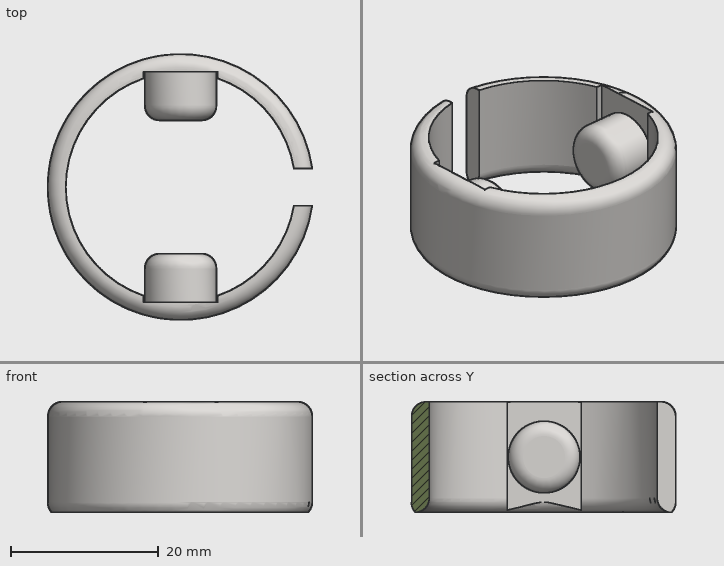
import cadquery as cq
import math

outer_radius = 17.97
inner_radius = 15.5
height = 15.0
rounding = 2.0
lower_round_height = 1.4
gap_width = 5.0

seat_distance = 15.55
seat_width = 10.0
peg_diameter = 9.7
peg_tip_distance = 9.0
peg_center_z = height / 2
peg_root_overlap = 0.35


def ring_body():
    """Revolve the wall section, whose lower rounds meet in a sharp bottom edge."""
    arc_center_x = outer_radius - rounding
    upper_arc_z = height - rounding
    lower_arc_x = arc_center_x + math.sqrt(rounding**2 - lower_round_height**2)
    upper_mid = rounding * math.sqrt(0.5)
    inner_rounding = lower_arc_x - inner_radius
    inner_mid = inner_rounding * (1 - math.sqrt(0.5))
    half_angle = math.asin(lower_round_height / rounding) / 2
    lower_mid = (
        arc_center_x + rounding * math.cos(half_angle),
        lower_round_height - rounding * math.sin(half_angle),
    )
    section = (
        cq.Workplane("XZ")
        .moveTo(inner_radius, inner_rounding)
        .threePointArc((inner_radius + inner_mid, inner_mid), (lower_arc_x, 0))
        .threePointArc(lower_mid, (outer_radius, lower_round_height))
        .lineTo(outer_radius, upper_arc_z)
        .threePointArc(
            (arc_center_x + upper_mid, upper_arc_z + upper_mid),
            (arc_center_x, height),
        )
        .lineTo(inner_radius, height)
        .close()
    )
    return section.revolve(360, (0, 0), (0, 1))


def gap_cutter():
    """Slot that opens the ring on its +X side."""
    return cq.Workplane("XY").box(
        outer_radius, gap_width, height, centered=(False, True, False)
    ).translate((outer_radius / 2, 0, 0))


def seat_cutter():
    """Block whose two end faces leave the opposite flat seats."""
    return cq.Workplane("XY").box(
        seat_width, 2 * seat_distance, height, centered=(True, True, False)
    )


def peg(side):
    """Round-tipped peg pointing at the ring axis; side is +1 or -1 along Y."""
    length = seat_distance + peg_root_overlap - peg_tip_distance
    tip_plane = cq.Plane(
        origin=(0, side * peg_tip_distance, peg_center_z),
        xDir=(1, 0, 0),
        normal=(0, side, 0),
    )
    return (
        cq.Workplane(tip_plane)
        .circle(peg_diameter / 2)
        .extrude(length)
        .faces("<Y" if side > 0 else ">Y")
        .edges()
        .fillet(rounding)
    )


result = ring_body().cut(gap_cutter()).cut(seat_cutter())
for side in (1, -1):
    result = result.union(peg(side))